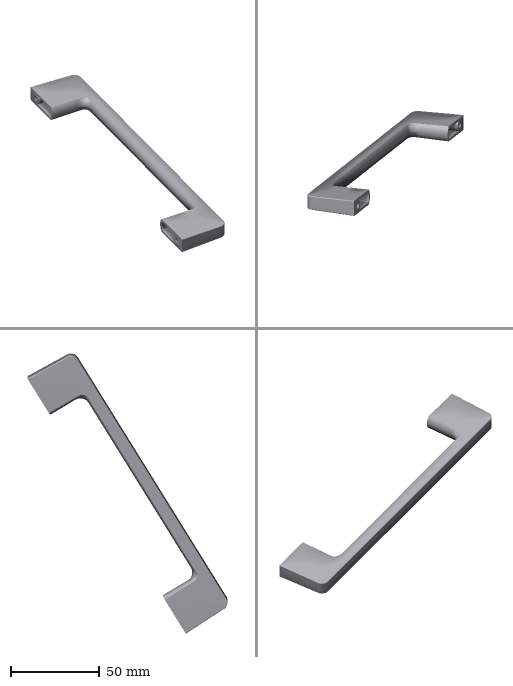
import cadquery as cq
import math

length = 172.0
depth = 30.0
height = 9.0
end_draft_angle = 2.0
face_draft_angle = 0.9
outer_corner_radius = 4.3
outer_edge_radius = 0.43

leg_width = 25.0
bar_thickness = 8.0
crown_rise = 1.9
inner_corner_radius = 5.3

hole_inset = 5.8
hole_diameter = 3.5
hole_depth = 17.2
hole_tip_angle = 118.0
boss_radius = 3.5
pocket_height = 5.8
pocket_depth = 20.6
pocket_wall = 1.5
pocket_crown_rise = 0.5
pocket_corner_radius = 0.9

base_y = -depth / 2
back_y = depth / 2
crown_edge_z = height / 2


def crowned_section(plane, back, tip):
    """Closed section from a flat back to a crowned tip, across the full height."""
    side = math.copysign(1, tip - back)
    crown_edge = tip - side * crown_rise
    return (
        cq.Workplane(plane)
        .moveTo(back, -crown_edge_z)
        .lineTo(crown_edge, -crown_edge_z)
        .threePointArc((tip, 0), (crown_edge, crown_edge_z))
        .lineTo(back, crown_edge_z)
        .close()
    )


def half_handle():
    """Left leg and half of the bar, with the inner corner between them rounded."""
    leg_plane = cq.Plane(origin=(0, base_y, 0), xDir=(1, 0, 0), normal=(0, -1, 0))
    leg = crowned_section(leg_plane, -length / 2, -length / 2 + leg_width).extrude(-depth)
    bar_plane = cq.Plane(origin=(-length / 2, 0, 0), xDir=(0, 1, 0), normal=(1, 0, 0))
    bar = crowned_section(bar_plane, back_y, back_y - bar_thickness).extrude(length / 2)
    corner = (-length / 2 + leg_width, back_y - bar_thickness, 0)
    body = leg.union(bar)
    return body.edges(cq.selectors.NearestToPointSelector(corner)).fillet(inner_corner_radius)


def drafted_envelope():
    """Block that narrows from the mounting plane to the back, with rounded end corners."""
    back_length = length - 2 * depth * math.tan(math.radians(end_draft_angle))
    back_height = height - 2 * depth * math.tan(math.radians(face_draft_angle))
    plane = cq.Plane(origin=(0, base_y, 0), xDir=(1, 0, 0), normal=(0, 1, 0))
    block = (
        cq.Workplane(plane)
        .rect(length, height)
        .workplane(offset=depth)
        .rect(back_length, back_height)
        .loft(ruled=True)
    )
    block = block.edges(">Y").edges("|Z").fillet(outer_corner_radius)
    return block.faces("<X or >X").edges(">Z or <Z").fillet(outer_edge_radius)


def mounting_cut():
    """Pocket with a round boss left standing in it, and the screw hole, for the left leg."""
    plane = cq.Plane(origin=(-length / 2, base_y, 0), xDir=(1, 0, 0), normal=(0, -1, 0))
    pocket_tip = leg_width - pocket_wall
    pocket_edge = pocket_tip - pocket_crown_rise
    half = pocket_height / 2
    pocket = (
        cq.Workplane(plane)
        .moveTo(hole_inset, -half)
        .lineTo(pocket_edge, -half)
        .threePointArc((pocket_tip, 0), (pocket_edge, half))
        .lineTo(hole_inset, half)
        .close()
        .extrude(-pocket_depth)
        .edges("|Y").edges(">X")
        .fillet(pocket_corner_radius)
    )
    boss = cq.Workplane(plane).center(hole_inset, 0).circle(boss_radius).extrude(-pocket_depth)
    hole = cq.Workplane(plane).center(hole_inset, 0).circle(hole_diameter / 2).extrude(-hole_depth)
    tip_length = hole_diameter / 2 / math.tan(math.radians(hole_tip_angle / 2))
    tip_start = cq.Vector(-length / 2 + hole_inset, base_y + hole_depth, 0)
    tip = cq.Solid.makeCone(hole_diameter / 2, 0, tip_length, tip_start, cq.Vector(0, 1, 0))
    return pocket.cut(boss).union(hole).union(cq.Workplane(tip))


left_half = half_handle().intersect(drafted_envelope()).cut(mounting_cut())
result = left_half.union(left_half.mirror("YZ"))